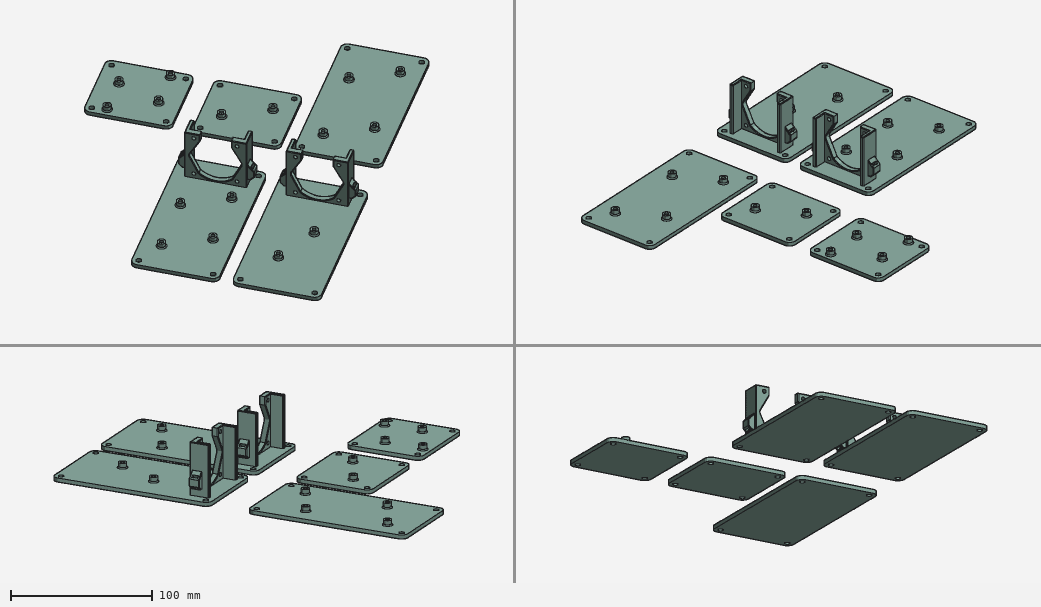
import cadquery as cq
import math

OVERALL_LENGTH = 280.0
PLATE_WIDTH = 65.0
SHORT_PLATE_LENGTH = 60.0
LONG_PLATE_LENGTH = 125.0
COLUMN_GAP_LEFT = 15.0
COLUMN_GAP_RIGHT = 10.0

COLUMN_MIDDLE = 0.0
COLUMN_LEFT = COLUMN_MIDDLE - PLATE_WIDTH - COLUMN_GAP_LEFT
COLUMN_RIGHT = COLUMN_MIDDLE + PLATE_WIDTH + COLUMN_GAP_RIGHT
ROW_GAP = OVERALL_LENGTH - 2 * LONG_PLATE_LENGTH
FRONT_ROW_Y = -(ROW_GAP + LONG_PLATE_LENGTH) / 2
BACK_ROW_LONG_Y = (ROW_GAP + LONG_PLATE_LENGTH) / 2
BACK_ROW_SHORT_Y = (ROW_GAP + SHORT_PLATE_LENGTH) / 2

PLATE_THICKNESS = 3.0
CORNER_RADIUS = 5.0
CORNER_HOLE_DIAMETER = 4.0
CORNER_HOLE_INSET = CORNER_RADIUS

STANDOFF_DIAMETER = 6.0
STANDOFF_BORE = 2.8
STANDOFF_HEIGHT = 4.0
STANDOFF_FOOT = 0.8

PATTERN_X = 16.5
SHORT_FOUR_OUTER_Y = 23.5
SHORT_FOUR_INNER_Y = 6.5
SHORT_TWO_Y = 8.5
LONG_FOUR_OUTER_Y = 41.0
LONG_FOUR_INNER_Y = 24.0
BRACKET_FOUR_OUTER_Y = 32.2
BRACKET_FOUR_INNER_Y = 15.5
BRACKET_FOUR_SHIFT = -5.0
BRACKET_TWO_X = 8.5
BRACKET_TWO_Y = 16.5
BRACKET_TWO_SHIFT = -10.0

BRACKET_WIDTH = 46.0
BRACKET_HEIGHT = 40.0
BRACKET_DEPTH = 15.0
BRACKET_EDGE_GAP = 5.0
FRONT_WALL = 5.0
SIDE_WALL = 3.0
BRACKET_CHAMFER = 0.5
WALL_HOLE_DIAMETER = 2.8
WALL_HOLE_X = 16.0
WALL_HOLE_INSET_Z = 4.0

SEAT_RADIUS = 19.3
SEAT_CENTRE_Z = 20.2
FLANK_START_X = 12.3
FLANK_PEAK_X = 19.5
FLANK_PEAK_RADIUS = 2.8
MOUTH_X = 11.8
MOUTH_BOTTOM_Z = 33.5

LUG_PROJECTION = 5.0
LUG_WIDTH = 8.0
LUG_BOTTOM_Z = 6.0
LUG_FACE_BOTTOM_Z = 8.7
LUG_FACE_TOP_Z = 14.0
LUG_TOP_Z = LUG_FACE_TOP_Z + LUG_PROJECTION
LUG_SETBACK = 14.3
LUG_CHAMFER = 0.5

SLOT_WIDTH = 4.5
SLOT_INNER_RADIUS = 6.0
SLOT_OUTER_RADIUS = 7.8
SLOT_CENTRE_OFFSET = 3.5

MARGIN = 2.8
TOLERANCE = 0.03


def base_plate(length):
    """Plate with rounded corners and a hole at each corner, centred on the origin."""
    plate = cq.Workplane("XY").box(PLATE_WIDTH, length, PLATE_THICKNESS, centered=(True, True, False))
    plate = plate.edges("|Z").fillet(CORNER_RADIUS)
    return (
        plate.faces(">Z").workplane()
        .rect(PLATE_WIDTH - 2 * CORNER_HOLE_INSET, length - 2 * CORNER_HOLE_INSET, forConstruction=True)
        .vertices().hole(CORNER_HOLE_DIAMETER)
    )


def standoff():
    """Bored round standoff with a conical foot, standing on the top of the plate."""
    radius = STANDOFF_DIAMETER / 2
    top = PLATE_THICKNESS + STANDOFF_HEIGHT
    profile = [
        (STANDOFF_BORE / 2, PLATE_THICKNESS),
        (radius + STANDOFF_FOOT, PLATE_THICKNESS),
        (radius, PLATE_THICKNESS + STANDOFF_FOOT),
        (radius, top),
        (STANDOFF_BORE / 2, top),
    ]
    return cq.Workplane("XZ").polyline(profile).close().revolve(360, (0, 0, 0), (0, 1, 0))


def seat_cutter():
    """Opening of the front wall, running through it in -Y from its rear face at y = 0."""
    start_z = SEAT_CENTRE_Z - math.sqrt(SEAT_RADIUS**2 - FLANK_START_X**2)
    opening = (
        cq.Workplane("XZ")
        .moveTo(-FLANK_START_X, start_z)
        .threePointArc((0, SEAT_CENTRE_Z - SEAT_RADIUS), (FLANK_START_X, start_z))
        .lineTo(FLANK_PEAK_X, SEAT_CENTRE_Z)
        .lineTo(MOUTH_X, MOUTH_BOTTOM_Z)
        .lineTo(MOUTH_X, BRACKET_HEIGHT + MARGIN)
        .lineTo(-MOUTH_X, BRACKET_HEIGHT + MARGIN)
        .lineTo(-MOUTH_X, MOUTH_BOTTOM_Z)
        .lineTo(-FLANK_PEAK_X, SEAT_CENTRE_Z)
        .close()
        .extrude(FRONT_WALL)
    )
    peaks = [opening.edges("|Y").edges(end) for end in ("<X", ">X")]
    return opening.newObject([peak.val() for peak in peaks]).fillet(FLANK_PEAK_RADIUS)


def is_bracket_chamfer_edge(edge):
    """True for the outer edges: not on the plate, not the inside corners, not the seat creases."""
    centre = edge.Center()
    box = edge.BoundingBox()
    on_plate = box.zmax < TOLERANCE
    upright = box.xlen < TOLERANCE and box.ylen < TOLERANCE
    inside_corner = (
        upright
        and abs(centre.y) < TOLERANCE
        and abs(abs(centre.x) - (BRACKET_WIDTH / 2 - SIDE_WALL)) < TOLERANCE
    )
    runs_along_y = box.xlen < TOLERANCE and box.zlen < TOLERANCE
    seat_crease = runs_along_y and abs(centre.x) < FLANK_PEAK_X
    return not (on_plate or inside_corner or seat_crease)


def bracket_walls():
    """Front wall and side walls; y = 0 is the rear face of the front wall, z = 0 the plate top."""
    block = cq.Workplane("XY", origin=(0, -FRONT_WALL, 0)).box(
        BRACKET_WIDTH, BRACKET_DEPTH, BRACKET_HEIGHT, centered=(True, False, False)
    )
    channel = cq.Workplane("XY").box(
        BRACKET_WIDTH - 2 * SIDE_WALL, BRACKET_DEPTH, BRACKET_HEIGHT, centered=(True, False, False)
    )
    walls = block.cut(channel).cut(seat_cutter())
    outer_edges = [edge for edge in walls.edges().vals() if is_bracket_chamfer_edge(edge)]
    walls = walls.newObject(outer_edges).chamfer(BRACKET_CHAMFER)
    holes = (
        cq.Workplane("XZ", origin=(0, 0, BRACKET_HEIGHT / 2))
        .rect(2 * WALL_HOLE_X, BRACKET_HEIGHT - 2 * WALL_HOLE_INSET_Z, forConstruction=True)
        .vertices().circle(WALL_HOLE_DIAMETER / 2).extrude(FRONT_WALL)
    )
    return walls.cut(holes)


def lug():
    """Tie lug pointing to +X; x = 0 is the side wall, y = 0 its middle, z = 0 the plate top."""
    slope_run = LUG_FACE_BOTTOM_Z - LUG_BOTTOM_Z
    profile = [
        (0, LUG_BOTTOM_Z),
        (LUG_PROJECTION - slope_run, LUG_BOTTOM_Z),
        (LUG_PROJECTION, LUG_FACE_BOTTOM_Z),
        (LUG_PROJECTION, LUG_FACE_TOP_Z),
        (0, LUG_TOP_Z),
    ]
    body = cq.Workplane("XZ", origin=(0, LUG_WIDTH / 2, 0)).polyline(profile).close().extrude(LUG_WIDTH)
    body = body.faces("<Y or >Y").edges("not(<X)").chamfer(LUG_CHAMFER)
    slot_centre = (
        LUG_PROJECTION + SLOT_CENTRE_OFFSET,
        SLOT_WIDTH / 2,
        (LUG_FACE_BOTTOM_Z + LUG_FACE_TOP_Z) / 2,
    )
    slot = (
        cq.Workplane("XZ", origin=slot_centre)
        .circle(SLOT_OUTER_RADIUS).circle(SLOT_INNER_RADIUS).extrude(SLOT_WIDTH)
    )
    return body.cut(slot)


def bracket(plate_length):
    """Bracket with its two lugs near the back edge of a long plate."""
    back_y = plate_length / 2
    rear_of_front_wall = back_y - BRACKET_EDGE_GAP - BRACKET_DEPTH + FRONT_WALL
    body = bracket_walls().translate((0, rear_of_front_wall, PLATE_THICKNESS))
    right_lug = lug().translate((BRACKET_WIDTH / 2, back_y - LUG_SETBACK, PLATE_THICKNESS))
    return body.union(right_lug).union(right_lug.mirror("YZ"))


def mount(length, standoff_centres, with_bracket=False):
    """One complete body: base plate, its standoffs and, if wanted, the bracket."""
    body = base_plate(length)
    for x, y in standoff_centres:
        body = body.union(standoff().translate((x, y, 0)))
    if with_bracket:
        body = body.union(bracket(length))
    return body


def two_point_pattern(x, y, shift=0.0):
    """Two diagonally opposite centres."""
    return [(x, shift + y), (-x, shift - y)]


def four_point_pattern(high_y, low_y, shift=0.0):
    return two_point_pattern(PATTERN_X, high_y, shift) + two_point_pattern(PATTERN_X, low_y, shift)


short_four_mount = mount(
    SHORT_PLATE_LENGTH, four_point_pattern(SHORT_FOUR_OUTER_Y, -SHORT_FOUR_INNER_Y)
).translate((COLUMN_LEFT, BACK_ROW_SHORT_Y, 0))

short_two_mount = mount(
    SHORT_PLATE_LENGTH, two_point_pattern(PATTERN_X, SHORT_TWO_Y)
).translate((COLUMN_MIDDLE, BACK_ROW_SHORT_Y, 0))

long_four_mount = mount(
    LONG_PLATE_LENGTH, four_point_pattern(LONG_FOUR_OUTER_Y, -LONG_FOUR_INNER_Y)
).translate((COLUMN_RIGHT, BACK_ROW_LONG_Y, 0))

bracket_four_mount = mount(
    LONG_PLATE_LENGTH,
    four_point_pattern(BRACKET_FOUR_OUTER_Y, -BRACKET_FOUR_INNER_Y, BRACKET_FOUR_SHIFT),
    with_bracket=True,
).translate((COLUMN_MIDDLE, FRONT_ROW_Y, 0))

bracket_two_mount = mount(
    LONG_PLATE_LENGTH,
    two_point_pattern(BRACKET_TWO_X, BRACKET_TWO_Y, BRACKET_TWO_SHIFT),
    with_bracket=True,
).translate((COLUMN_RIGHT, FRONT_ROW_Y, 0))

result = cq.Compound.makeCompound([
    short_four_mount.val(),
    short_two_mount.val(),
    long_four_mount.val(),
    bracket_four_mount.val(),
    bracket_two_mount.val(),
])